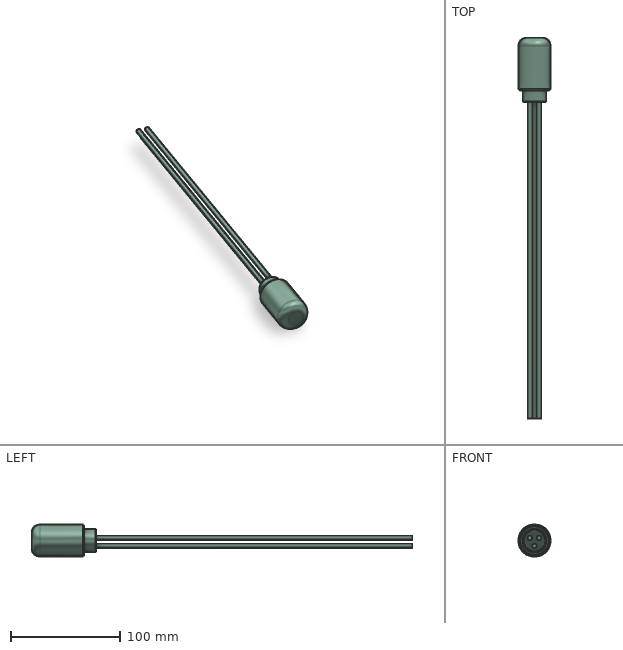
import cadquery as cq
import math

total_length = 348.8
rear_y = total_length / 2

body_radius = 14.82
body_length = 48.5
body_rear_fillet = 7.5
body_front_chamfer = 1.7
neck_radius = 10.8
neck_length = 10.8
neck_chamfer = 1.0

wire_count = 3
wire_diameter = 4.2
wire_circle_radius = 5.0
bottom_angle = -90.0

body_front_y = rear_y - body_length
neck_front_y = body_front_y - neck_length
wire_length = total_length - body_length - neck_length


def cylinder_toward_front(start_y, radius, length, x=0.0, z=0.0):
    """Solid cylinder running from start_y in the -Y direction."""
    plane = cq.Workplane("XZ", origin=(x, start_y, z))
    return plane.circle(radius).extrude(length)


def make_body():
    body = cylinder_toward_front(rear_y, body_radius, body_length)
    body = body.faces(">Y").edges().fillet(body_rear_fillet)
    return body.faces("<Y").edges().chamfer(body_front_chamfer)


def make_neck():
    neck = cylinder_toward_front(body_front_y, neck_radius, neck_length)
    return neck.faces("<Y").edges().chamfer(neck_chamfer)


def make_wire(index):
    angle = math.radians(bottom_angle + index * 360.0 / wire_count)
    x = wire_circle_radius * math.cos(angle)
    z = wire_circle_radius * math.sin(angle)
    return cylinder_toward_front(neck_front_y, wire_diameter / 2, wire_length, x, z)


result = make_body().union(make_neck())
for wire_index in range(wire_count):
    result = result.union(make_wire(wire_index))